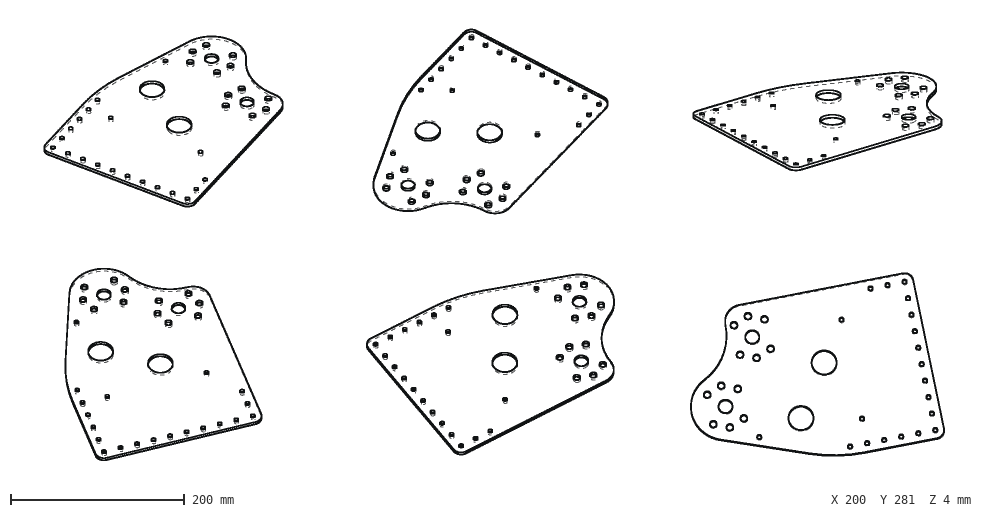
import cadquery as cq
import math

WIDTH = 200.0
HEIGHT = 281.0
THICKNESS = 4.0
BOTTOM_RADIUS = 10.0
SHOULDER_RADIUS = 20.0
SHOULDER_TOP = 222.2
LOBE_RADIUS = 40.0
FLANK_RADIUS = 180.0
FLANK_START = 95.0

UPPER_MOUNT = (84.8, HEIGHT - LOBE_RADIUS)
LOWER_MOUNT = (160.0, 194.7)
PILOT_DIAMETER = 16.0
BOLT_DIAMETER = 8.0
BOLT_CIRCLE_RADIUS = 25.3
BOLT_ANGLES = (0, 45, 135, 180, 225, 315)

LARGE_HOLE_DIAMETER = 28.7
LARGE_HOLES = [(54.2, 158.7), (113.8, 119.7)]

SMALL_DIAMETER = 5.0
EDGE_MARGIN = 10.0
BOTTOM_COUNT = 10
LEFT_COUNT = 6
RIGHT_COUNT = 3
PITCH = (WIDTH - 2 * EDGE_MARGIN) / (BOTTOM_COUNT - 1)
INNER_ROW = 4
LONE_HOLE = (41.5, 210.2)
INNER_LEFT_X = 40.0


def polar(center, radius, degrees):
    """Point at a radius and angle from a center."""
    angle = math.radians(degrees)
    return (center[0] + radius * math.cos(angle), center[1] + radius * math.sin(angle))


def make_plate():
    """Plate whose straight sides and arcs run smoothly into each other."""
    lobe = UPPER_MOUNT
    flank = (FLANK_RADIUS, FLANK_START)
    shoulder = (WIDTH - SHOULDER_RADIUS, SHOULDER_TOP - SHOULDER_RADIUS)

    dx = flank[0] - lobe[0]
    dy = lobe[1] - flank[1]
    tangent_share = (FLANK_RADIUS - LOBE_RADIUS) / math.hypot(dx, dy)
    slope = math.degrees(math.atan2(dy, dx) - math.acos(tangent_share))
    slope_normal = 180 - slope

    span = shoulder[0] - lobe[0]
    drop = lobe[1] - SHOULDER_TOP
    hollow_radius = (span**2 + drop**2 - LOBE_RADIUS**2) / (2 * (LOBE_RADIUS + drop))
    hollow = (shoulder[0], SHOULDER_TOP + hollow_radius)
    hollow_angle = math.degrees(math.atan2(hollow[1] - lobe[1], span))
    hollow_middle = (hollow_angle + 180 + 270) / 2

    outline = (
        cq.Workplane("XY")
        .moveTo(0, 0)
        .lineTo(WIDTH, 0)
        .lineTo(WIDTH, shoulder[1])
        .threePointArc(polar(shoulder, SHOULDER_RADIUS, 45), (shoulder[0], SHOULDER_TOP))
        .threePointArc(
            polar(hollow, hollow_radius, hollow_middle), polar(lobe, LOBE_RADIUS, hollow_angle)
        )
        .threePointArc((lobe[0], HEIGHT), polar(lobe, LOBE_RADIUS, slope_normal))
        .lineTo(*polar(flank, FLANK_RADIUS, slope_normal))
        .threePointArc(polar(flank, FLANK_RADIUS, 180 - slope / 2), (0, FLANK_START))
        .close()
    )
    plate = outline.extrude(THICKNESS)
    bottom_corners = cq.selectors.BoxSelector((-2.8, -2.8, -2.8), (WIDTH + 2.8, 2.8, THICKNESS + 2.8))
    return plate.edges("|Z").edges(bottom_corners).fillet(BOTTOM_RADIUS)


def drill(plate, points, diameter):
    """Cut through holes at the given points."""
    cutters = cq.Workplane("XY").pushPoints(points).circle(diameter / 2).extrude(THICKNESS)
    return plate.cut(cutters)


def small_hole_points():
    """Bottom row, both side columns and the separate inner holes."""
    right_x = WIDTH - EDGE_MARGIN
    bottom = [(EDGE_MARGIN + i * PITCH, EDGE_MARGIN) for i in range(BOTTOM_COUNT)]
    left = [(EDGE_MARGIN, EDGE_MARGIN + i * PITCH) for i in range(1, LEFT_COUNT)]
    right = [(right_x, EDGE_MARGIN + i * PITCH) for i in range(1, RIGHT_COUNT)]
    inner_y = EDGE_MARGIN + INNER_ROW * PITCH
    inner = [(INNER_LEFT_X, inner_y), (LOWER_MOUNT[0], inner_y)]
    return bottom + left + right + inner + [LONE_HOLE]


result = make_plate()
for mount in (UPPER_MOUNT, LOWER_MOUNT):
    bolts = [polar(mount, BOLT_CIRCLE_RADIUS, angle) for angle in BOLT_ANGLES]
    result = drill(result, [mount], PILOT_DIAMETER)
    result = drill(result, bolts, BOLT_DIAMETER)
result = drill(result, LARGE_HOLES, LARGE_HOLE_DIAMETER)
result = drill(result, small_hole_points(), SMALL_DIAMETER)